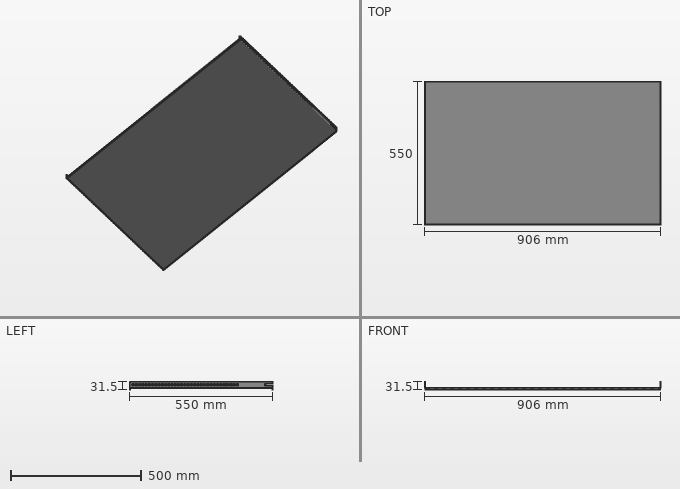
import cadquery as cq

tray_width = 906.0
tray_depth = 550.0
tray_height = 31.5
sheet = 1.5
flange_height = 25.0
inner_bend_radius = 0.5

flange_corner_radius = 5.0
hole_diameter = 6.5
hole_pitch = 12.5
hole_count = 33
first_hole_from_rear = 12.5
hole_below_flange_top = 12.25
slot_length = 30.0

outer_bend_radius = inner_bend_radius + sheet
half_width = tray_width / 2
half_depth = tray_depth / 2
lip_length = tray_width - 2 * outer_bend_radius
lip_height = tray_height - flange_height + sheet
hole_radius = hole_diameter / 2
hole_z = flange_height - hole_below_flange_top
first_hole_y = half_depth - first_hole_from_rear
slot_arc_y = -half_depth + slot_length - hole_radius


def channel_block(width, length, bottom, top, corner_radius):
    """Solid block along Y whose two lower long edges are rounded."""
    return (
        cq.Workplane("XY", origin=(0, 0, bottom))
        .box(width, length, top - bottom, centered=(True, True, False))
        .edges("|Y and <Z")
        .fillet(corner_radius)
    )


def make_channel(width, length, height):
    """U-channel of bent sheet running along Y, with its base on Z = 0."""
    outside = channel_block(width, length, 0, height, outer_bend_radius)
    inside = channel_block(width - 2 * sheet, length, sheet, height, inner_bend_radius)
    return outside.cut(inside)


def make_flanged_panel():
    """Panel with upturned side flanges whose upper corners are rounded."""
    channel = make_channel(tray_width, tray_depth, flange_height)
    return channel.edges("|X and >Z").fillet(flange_corner_radius)


def make_lipped_panel():
    """Panel with downturned front and rear lips, spanning between the side bends."""
    channel = make_channel(tray_depth, lip_length, lip_height)
    turned = channel.rotate((0, 0, 0), (1, 0, 0), 180).rotate((0, 0, 0), (0, 0, 1), 90)
    return turned.translate((0, 0, sheet))


def make_lip_bend_room():
    """Block between the side bends that the lipped panel takes the place of."""
    return cq.Workplane("XY").box(lip_length, tray_depth, 2 * sheet)


def make_hole_row():
    """Row of round holes running through both flanges."""
    places = [(first_hole_y - i * hole_pitch, hole_z) for i in range(hole_count)]
    return (
        cq.Workplane("YZ")
        .pushPoints(places)
        .circle(hole_radius)
        .extrude(half_width, both=True)
    )


def make_slot():
    """Round-ended slot, open at the front edge, through both flanges."""
    return (
        cq.Workplane("YZ")
        .moveTo(-half_depth, hole_z - hole_radius)
        .lineTo(slot_arc_y, hole_z - hole_radius)
        .threePointArc((slot_arc_y + hole_radius, hole_z), (slot_arc_y, hole_z + hole_radius))
        .lineTo(-half_depth, hole_z + hole_radius)
        .close()
        .extrude(half_width, both=True)
    )


tray = make_flanged_panel().cut(make_lip_bend_room()).union(make_lipped_panel())
result = tray.cut(make_hole_row()).cut(make_slot())